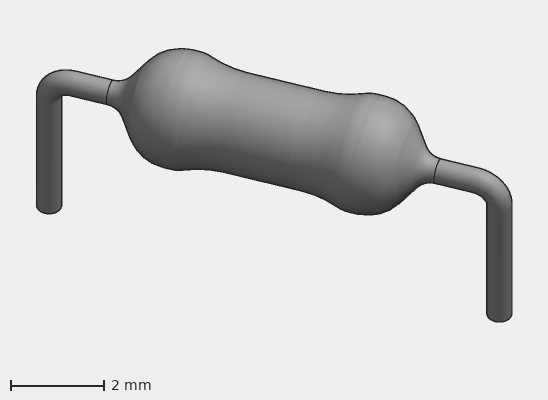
import cadquery as cq
import math

OVERALL_LENGTH = 10.71
OVERALL_HEIGHT = 5.2

LEAD_DIAMETER = 0.55
BEND_RADIUS = 0.55

BULB_DIAMETER = 2.6
WAIST_DIAMETER = 2.2
BAND_INNER = 0.47
BAND_OUTER = 0.79
WAIST_END = 0.87
FLARE_INFLECTION = 1.77
CREST_INNER = 1.99
CREST_OUTER = 2.18
DOME_END = 2.99
DOME_RADIUS = 1.0
NECK_FILLET_RADIUS = 0.5

lead_radius = LEAD_DIAMETER / 2
bulb_radius = BULB_DIAMETER / 2
waist_radius = WAIST_DIAMETER / 2

flare_slope = (bulb_radius - waist_radius) / (CREST_INNER - WAIST_END)
flare_angle = 2 * math.atan(flare_slope)
inflection_radius = waist_radius + flare_slope * (FLARE_INFLECTION - WAIST_END)
flare_radius = (FLARE_INFLECTION - WAIST_END) / math.sin(flare_angle)
shoulder_radius = (CREST_INNER - FLARE_INFLECTION) / math.sin(flare_angle)

cone_angle = math.asin((DOME_END - CREST_OUTER) / DOME_RADIUS)
dome_end_radius = bulb_radius - DOME_RADIUS * (1 - math.cos(cone_angle))
cone_end_radius = lead_radius + NECK_FILLET_RADIUS * (1 - math.cos(cone_angle))
cone_end = DOME_END + (dome_end_radius - cone_end_radius) / math.tan(cone_angle)
neck_end = cone_end + NECK_FILLET_RADIUS * math.sin(cone_angle)

lead_x = OVERALL_LENGTH / 2 - lead_radius
lead_bottom = bulb_radius - OVERALL_HEIGHT
bend_start = lead_x - BEND_RADIUS


def arc_middle(level_x, level_height, radius, angle, bulge, direction):
    """Middle of an arc that starts level; bulge +1 is convex, direction is its way along X."""
    return (
        level_x + direction * radius * math.sin(angle / 2),
        level_height - bulge * radius * (1 - math.cos(angle / 2)),
    )


def half_profile(side):
    """Edges of the body outline from the band to the lead on one side (+1 or -1)."""

    def point(position):
        x, height = position
        return cq.Vector(side * x, 0, height)

    def line(start, end):
        return cq.Edge.makeLine(point(start), point(end))

    def arc(start, middle, end):
        return cq.Edge.makeThreePointArc(point(start), point(middle), point(end))

    band_inner = (BAND_INNER, waist_radius)
    band_outer = (BAND_OUTER, waist_radius)
    waist_end = (WAIST_END, waist_radius)
    inflection = (FLARE_INFLECTION, inflection_radius)
    crest_inner = (CREST_INNER, bulb_radius)
    crest_outer = (CREST_OUTER, bulb_radius)
    dome_end = (DOME_END, dome_end_radius)
    cone_tip = (cone_end, cone_end_radius)
    neck = (neck_end, lead_radius)

    flare_middle = arc_middle(*waist_end, flare_radius, flare_angle, -1, 1)
    shoulder_middle = arc_middle(*crest_inner, shoulder_radius, flare_angle, 1, -1)
    dome_middle = arc_middle(*crest_outer, DOME_RADIUS, cone_angle, 1, 1)
    neck_middle = arc_middle(*neck, NECK_FILLET_RADIUS, cone_angle, -1, -1)

    return [
        line(band_inner, band_outer),
        line(band_outer, waist_end),
        arc(waist_end, flare_middle, inflection),
        arc(inflection, shoulder_middle, crest_inner),
        line(crest_inner, crest_outer),
        arc(crest_outer, dome_middle, dome_end),
        line(dome_end, cone_tip),
        arc(cone_tip, neck_middle, neck),
        line(neck, (neck_end, 0)),
    ]


def make_body():
    """Dumbbell-shaped body turned about the X axis, ending in a neck at each lead."""
    middle = cq.Edge.makeLine(
        cq.Vector(-BAND_INNER, 0, waist_radius), cq.Vector(BAND_INNER, 0, waist_radius)
    )
    axis = cq.Edge.makeLine(cq.Vector(neck_end, 0, 0), cq.Vector(-neck_end, 0, 0))
    left_edges = list(reversed(half_profile(-1)))
    outline = cq.Wire.assembleEdges([*left_edges, middle, *half_profile(1), axis])
    return cq.Solid.revolve(outline, [], 360, cq.Vector(0, 0, 0), cq.Vector(1, 0, 0))


def make_lead(side):
    """Wire that leaves the neck along X, bends down and ends below the body."""
    bend_offset = BEND_RADIUS * math.sin(math.pi / 4)
    bend_middle = (side * (bend_start + bend_offset), bend_offset - BEND_RADIUS)
    path = (
        cq.Workplane("XZ")
        .moveTo(side * neck_end, 0)
        .lineTo(side * bend_start, 0)
        .threePointArc(bend_middle, (side * lead_x, -BEND_RADIUS))
        .lineTo(side * lead_x, lead_bottom)
    )
    return cq.Workplane("YZ", origin=(side * neck_end, 0, 0)).circle(lead_radius).sweep(path).val()


body = make_body()
leads = [make_lead(side) for side in (-1, 1)]

result = cq.Compound.makeCompound([body, *leads])